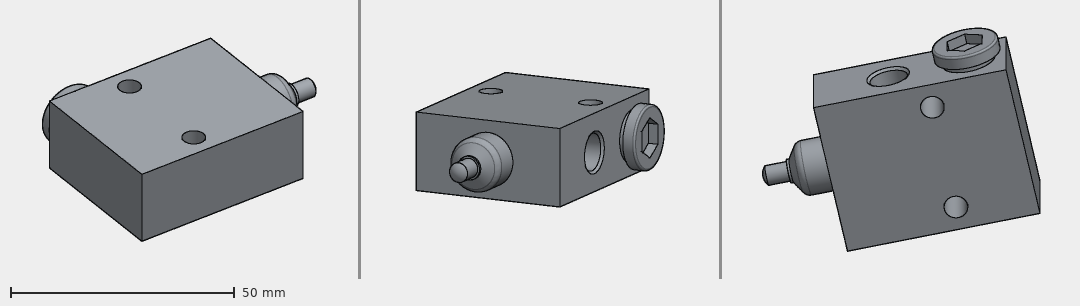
import cadquery as cq
import math

body_width = 36.0
body_length = 44.05
body_height = 18.0
mid_x = body_width / 2
mid_z = body_height / 2

mount_diameter = 5.3
mount_spacing = 25.0
mount_y = 18.0

port_diameter = 8.55
port_depth = 11.9
port_chamfer = 0.6
port_y = 26.95

plug_y = 8.5
plug_neck_diameter = 12.0
plug_neck_length = 1.55
plug_head_diameter = 15.0
plug_head_thickness = 3.0
plug_head_fillet = 0.5
socket_across_flats = 8.0
socket_depth = 2.4

sleeve_diameter = 12.5
sleeve_height = 6.6
sleeve_fillet = 2.0
cone_height = 8.9
collar_diameter = 5.5
collar_height = 9.5
pin_diameter = 4.5
plunger_height = 15.45
tip_height = 0.95


def make_body():
    """Rectangular block with two mounting holes and a chamfered port."""
    block = cq.Workplane("XY").box(body_width, body_length, body_height, centered=False)
    hole_centers = [(mid_x + side * mount_spacing / 2, mount_y) for side in (-1, 1)]
    holes = (
        cq.Workplane("XY")
        .pushPoints(hole_centers)
        .circle(mount_diameter / 2)
        .extrude(body_height)
    )
    port_plane = cq.Workplane("YZ").center(port_y, mid_z)
    port = port_plane.circle(port_diameter / 2).extrude(port_depth)
    mouth = (
        port_plane.circle(port_diameter / 2 + port_chamfer)
        .workplane(offset=port_chamfer)
        .circle(port_diameter / 2)
        .loft(ruled=True)
    )
    return block.cut(holes).cut(port).cut(mouth)


def make_plug():
    """Round plug head on a narrower neck, with a hexagonal socket."""
    plug_plane = cq.Workplane("YZ").center(plug_y, mid_z)
    neck = plug_plane.circle(plug_neck_diameter / 2).extrude(-plug_neck_length)
    head = (
        plug_plane.workplane(offset=-plug_neck_length)
        .circle(plug_head_diameter / 2)
        .extrude(-plug_head_thickness)
        .faces("<X")
        .edges()
        .fillet(plug_head_fillet)
    )
    across_corners = socket_across_flats / math.cos(math.pi / 6)
    socket = (
        plug_plane.workplane(offset=-plug_neck_length - plug_head_thickness)
        .transformed(rotate=(0, 0, 90))
        .polygon(6, across_corners)
        .extrude(socket_depth)
    )
    return neck.union(head).cut(socket)


def make_plunger():
    """Turned sleeve, cone, collar and domed pin along +Y."""
    pin_radius = pin_diameter / 2
    dome_radius = (pin_radius**2 + tip_height**2) / (2 * tip_height)
    dome_mid_x = pin_radius / 2
    dome_mid_y = plunger_height - dome_radius + math.sqrt(dome_radius**2 - dome_mid_x**2)
    return (
        cq.Workplane("XY")
        .lineTo(sleeve_diameter / 2, 0)
        .lineTo(sleeve_diameter / 2, sleeve_height)
        .lineTo(collar_diameter / 2, cone_height)
        .lineTo(collar_diameter / 2, collar_height)
        .lineTo(pin_radius, collar_height)
        .lineTo(pin_radius, plunger_height - tip_height)
        .threePointArc((dome_mid_x, dome_mid_y), (0, plunger_height))
        .close()
        .revolve(360, (0, 0, 0), (0, 1, 0))
        .edges(cq.selectors.RadiusNthSelector(-1))
        .edges(">Y")
        .fillet(sleeve_fillet)
        .translate((mid_x, body_length, mid_z))
    )


result = make_body().union(make_plug()).union(make_plunger())